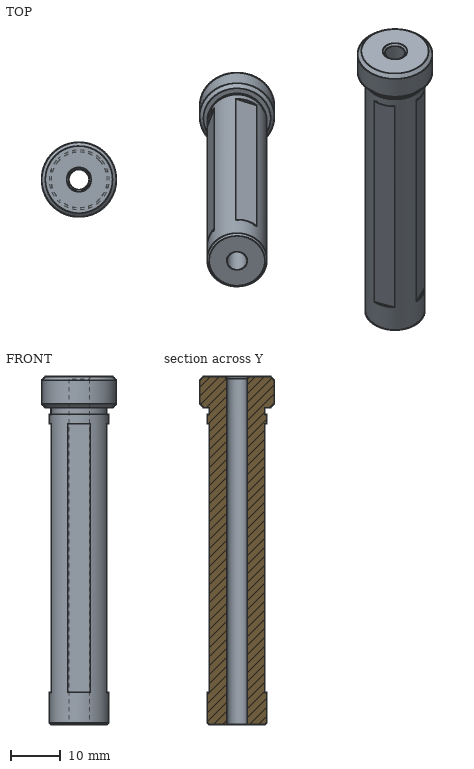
import cadquery as cq

total_length = 69.85
head_diameter = 15.0
head_height = 6.3
head_chamfer = 0.8

shank_diameter = 12.0
shank_end_chamfer = 0.4
neck_diameter = 11.25
neck_height = 1.3

flat_count = 4
flat_width = 4.5
flat_bottom = 6.5
flat_top = 60.35

bore_diameter = 4.05
bore_chamfer = 0.4

head_bottom = total_length - head_height
neck_bottom = head_bottom - neck_height


def cylinder(diameter, bottom, top):
    return cq.Workplane("XY").workplane(offset=bottom).circle(diameter / 2).extrude(top - bottom)


def make_blank():
    """Shank, neck and chamfered head stacked along Z."""
    shank = cylinder(shank_diameter, 0, neck_bottom).faces("<Z").chamfer(shank_end_chamfer)
    neck = cylinder(neck_diameter, neck_bottom, head_bottom)
    head = cylinder(head_diameter, head_bottom, total_length).edges().chamfer(head_chamfer)
    return shank.union(neck).union(head)


def make_flat_cutter(angle):
    """Block that removes the shank segment outside one flat."""
    shank_radius = shank_diameter / 2
    flat_distance = (shank_radius**2 - (flat_width / 2) ** 2) ** 0.5
    block = cq.Workplane("XY").box(
        shank_radius, shank_diameter, flat_top - flat_bottom, centered=(False, True, False)
    )
    return block.translate((flat_distance, 0, flat_bottom)).rotate((0, 0, 0), (0, 0, 1), angle)


def cut_bore(body):
    """Through bore with a chamfered mouth in the head."""
    bored = body.cut(cylinder(bore_diameter, 0, total_length))
    return bored.faces(">Z").edges(cq.selectors.RadiusNthSelector(0)).chamfer(bore_chamfer)


result = make_blank()
for index in range(flat_count):
    result = result.cut(make_flat_cutter(index * 360 / flat_count))
result = cut_bore(result)